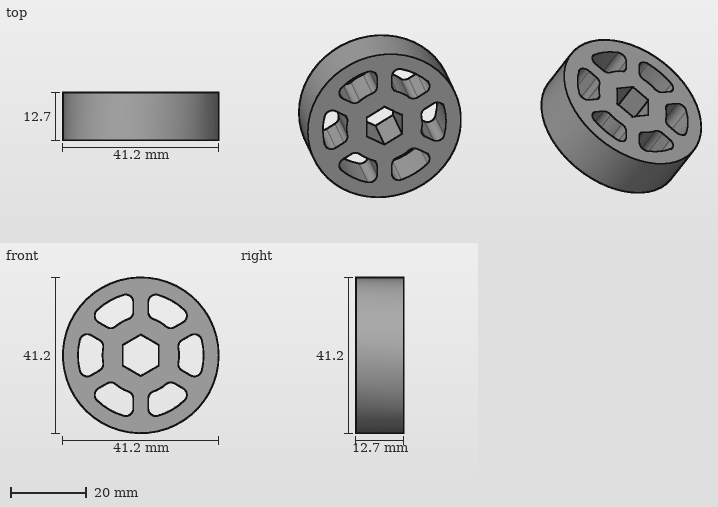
import cadquery as cq

wheel_diameter = 41.25
wheel_width = 12.7
hex_across_flats = 9.45
hub_radius = 10.15
rim_inner_radius = 16.6
spoke_width = 4.0
window_corner_radius = 2.0

pair_angles = (0, 60, 120)


def disc(radius):
    """Solid disc of full wheel width, centred on the origin."""
    return cq.Workplane("XZ", origin=(0, wheel_width / 2, 0)).circle(radius).extrude(wheel_width)


def bar(width, angle):
    """Bar across the whole wheel, turned about the wheel axis from upright."""
    upright = cq.Workplane("XY").box(width, wheel_width, wheel_diameter)
    return upright.rotate((0, 0, 0), (0, 1, 0), angle)


def hex_bore():
    """Hexagonal prism with two corners pointing along Z."""
    prism = disc(wheel_diameter / 2)
    for angle in pair_angles:
        prism = prism.intersect(bar(hex_across_flats, angle))
    return prism


def spoke_windows():
    """Ring between hub and rim, split by the spokes and rounded at its corners."""
    windows = disc(rim_inner_radius).cut(disc(hub_radius))
    for angle in pair_angles:
        windows = windows.cut(bar(spoke_width, angle))
    return windows.edges("|Y").fillet(window_corner_radius)


result = disc(wheel_diameter / 2).cut(hex_bore()).cut(spoke_windows())